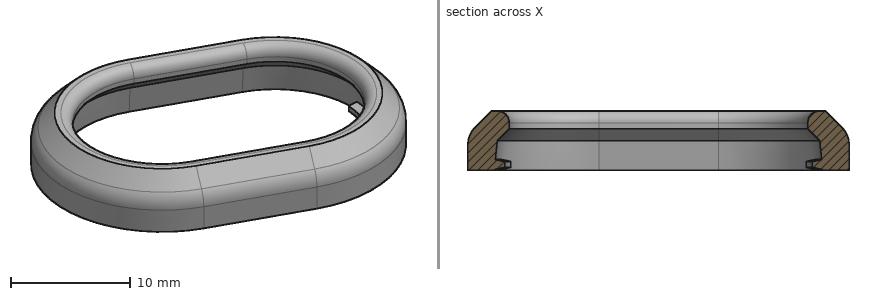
import cadquery as cq
import math

straight_length = 10.0
outer_radius = 11.0
opening_radius = 7.5
height = 5.0

bevel = 2.0
bevel_blend_radius = 2.0

lip_fillet_radius = 1.0
lip_bottom_z = 3.5

cavity_top_radius = 8.5
cavity_bottom_radius = 8.75
cavity_wall_top_z = lip_bottom_z - (cavity_top_radius - opening_radius)

tab_tip_radius = 7.85
tab_root_radius = 9.0
tab_root_height = 1.0
tab_taper = 0.25
tab_root_width = 6.0


def ring_section():
    """Wall cross-section in the XZ plane, with X as the distance from the ring's centre line."""
    bevel_angle = math.radians(45)
    blend_drop = bevel_blend_radius * math.sin(bevel_angle)
    blend_inset = bevel_blend_radius * (1 - math.cos(bevel_angle))
    tangent_length = bevel_blend_radius * math.tan(bevel_angle / 2)
    blend_start_z = height - bevel - tangent_length
    half_angle = bevel_angle / 2
    blend_middle = (
        outer_radius - bevel_blend_radius * (1 - math.cos(half_angle)),
        blend_start_z + bevel_blend_radius * math.sin(half_angle),
    )
    fillet_start_radius = opening_radius + lip_fillet_radius
    fillet_middle = (
        fillet_start_radius - lip_fillet_radius * math.sin(bevel_angle),
        height - lip_fillet_radius * (1 - math.cos(bevel_angle)),
    )
    return (
        cq.Workplane("XZ")
        .moveTo(cavity_bottom_radius, 0)
        .lineTo(outer_radius, 0)
        .lineTo(outer_radius, blend_start_z)
        .threePointArc(blend_middle, (outer_radius - blend_inset, blend_start_z + blend_drop))
        .lineTo(outer_radius - bevel, height)
        .lineTo(fillet_start_radius, height)
        .threePointArc(fillet_middle, (opening_radius, height - lip_fillet_radius))
        .lineTo(opening_radius, lip_bottom_z)
        .lineTo(cavity_top_radius, cavity_wall_top_z)
        .close()
    )


def retaining_tab():
    """Arc-shaped ledge centred on +Y, rooted inside the cavity wall and tapering toward its tip."""
    ledge = (
        cq.Workplane("XZ")
        .moveTo(tab_tip_radius, tab_taper)
        .lineTo(tab_root_radius, 0)
        .lineTo(tab_root_radius, tab_root_height)
        .lineTo(tab_tip_radius, tab_root_height - tab_taper)
        .close()
        .revolve(180, (0, 0, 0), (0, 1, 0))
    )
    root_half_width = tab_root_width / 2
    taper_slope = tab_taper / (tab_root_radius - tab_tip_radius)
    centre_half_width = root_half_width - taper_slope * tab_root_radius
    wedge = (
        cq.Workplane("XY")
        .moveTo(-centre_half_width, 0)
        .lineTo(centre_half_width, 0)
        .lineTo(root_half_width, tab_root_radius)
        .lineTo(-root_half_width, tab_root_radius)
        .close()
        .extrude(tab_root_height)
    )
    return ledge.intersect(wedge)


def round_end():
    """Half ring on the +Y side with its retaining tab, moved to the end of the straight sides."""
    half_ring = ring_section().revolve(180, (0, 0, 0), (0, 1, 0))
    return half_ring.union(retaining_tab()).translate((0, straight_length / 2, 0))


def straight_side():
    """Straight wall on the +X side."""
    return ring_section().extrude(straight_length / 2, both=True)


result = (
    straight_side()
    .union(straight_side().mirror("YZ"))
    .union(round_end())
    .union(round_end().mirror("XZ"))
)